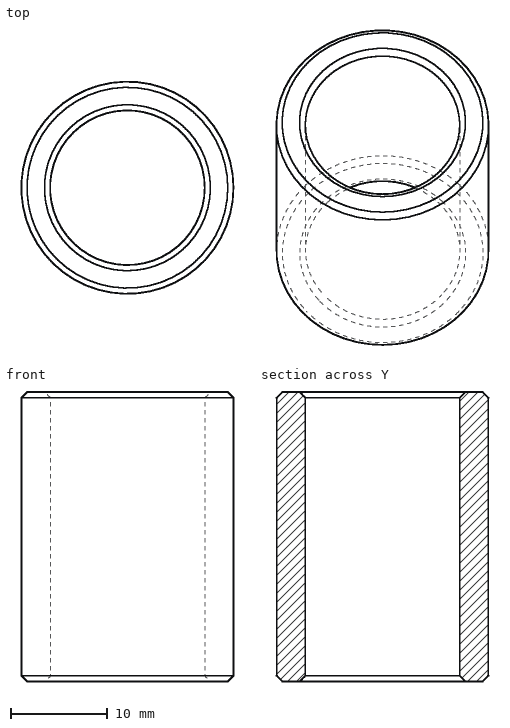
import cadquery as cq

length = 30.0
outer_diameter = 22.0
bore_diameter = 16.0
chamfer = 0.6

tube = (
    cq.Workplane("XY")
    .circle(outer_diameter / 2)
    .circle(bore_diameter / 2)
    .extrude(length)
)

result = tube.faces("<Z or >Z").edges().chamfer(chamfer)